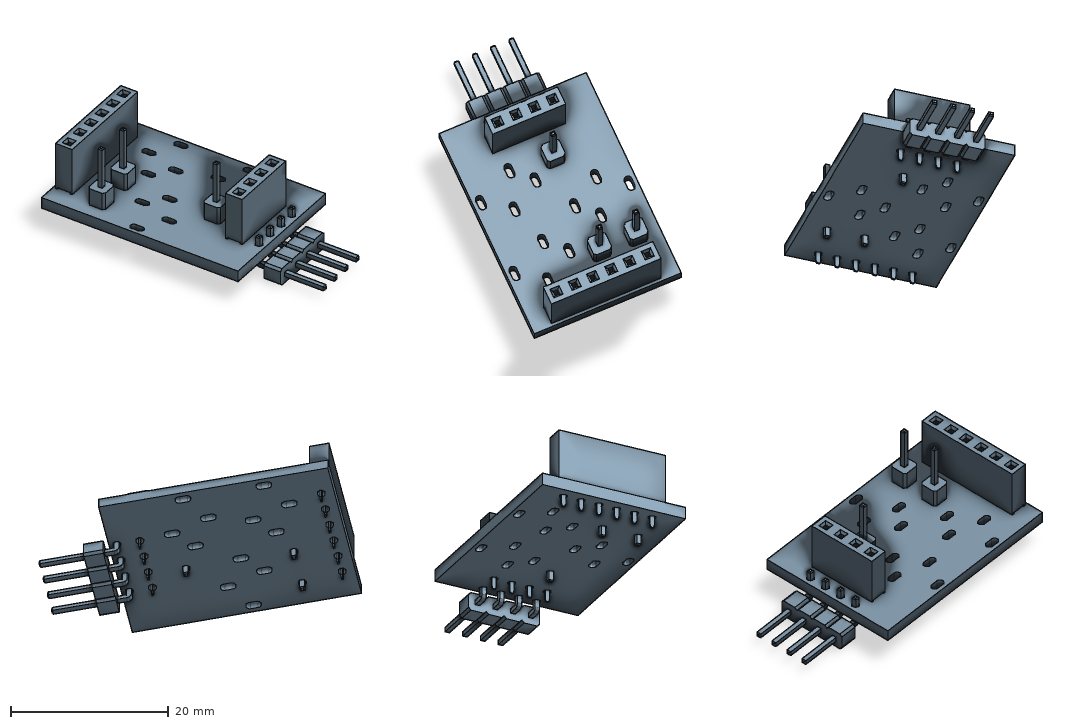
import cadquery as cq

pitch = 2.54
pin_size = 0.64
pin_tip = 0.15
cell_chamfer = 0.33
drill = 1.0

board_length = 29.8
board_width = 20.45
board_thickness = 1.65
slot_length = 2.0
slot_offsets = [(0, 3.8), (0, -3.8), (-2.54, 0.25), (2.5, -1.27)]
switches = [(8.53, 15.6, False), (19.05, 15.6, False), (13.81, 4.85, True)]

row_y = 10.28
socket_height = 7.0
socket_x = 1.66
socket_spacing = 9.5 * pitch
socket_counts = {socket_x: 6, socket_x + socket_spacing: 4}
entry_size = 1.26
entry_depth = 0.35
shaft_size = 0.65
shaft_depth = 4.0
blade_thickness = 0.2
blade_depth = 2.0
blade_reach = 3.1
blade_taper = 0.35
blade_tip_width = 0.4
groove_width = 1.87
groove_height = 0.2

upright_places = [(6.99, 8.29), (6.99, 8.29 - 2 * pitch), (6.99 + 5.5 * pitch, 8.53)]
upright_above = 6.0
upright_below = 3.0

angled_count = 4
angled_pin_x = 28.78
angled_overall_x = 38.87
angled_free_length = 6.0
angled_cell_x = angled_overall_x - angled_free_length - pitch / 2
angled_above = 1.3
angled_axis_z = board_thickness - 2.97
bend_radius = pin_size


def row_positions(count):
    """Y positions of a row of contacts centred on the common row line."""
    return [row_y + (i - (count - 1) / 2) * pitch for i in range(count)]


def box(size_x, size_y, bottom, top, x, y):
    """Block centred on (x, y), reaching from bottom to top."""
    block = cq.Workplane("XY").box(size_x, size_y, top - bottom, centered=(True, True, False))
    return block.translate((x, y, bottom))


def slot_centres():
    """Centres of the slots of all switch footprints."""
    centres = []
    for x, y, turned in switches:
        sign = -1 if turned else 1
        centres += [(x + sign * dx, y + sign * dy) for dx, dy in slot_offsets]
    return centres


def drill_centres():
    """Centres of the drilled holes of all sockets and pins."""
    centres = list(upright_places)
    centres += [(angled_pin_x, y) for y in row_positions(angled_count)]
    for x, count in socket_counts.items():
        centres += [(x, y) for y in row_positions(count)]
    return centres


def make_board():
    """Board with the switch slots and the drilled holes."""
    board = cq.Workplane("XY").box(board_length, board_width, board_thickness, centered=False)
    slots = cq.Workplane("XY").pushPoints(slot_centres()).slot2D(slot_length, drill)
    holes = cq.Workplane("XY").pushPoints(drill_centres()).circle(drill / 2)
    return board.cut(slots.extrude(board_thickness)).cut(holes.extrude(board_thickness))


def make_contact_entry(x, y, top):
    """Tapered mouth and straight shaft that lead to one contact blade."""
    mouth = (
        cq.Workplane("XY", origin=(x, y, top))
        .rect(entry_size, entry_size)
        .workplane(offset=-entry_depth)
        .rect(shaft_size, shaft_size)
        .loft(ruled=True)
    )
    return mouth.union(box(shaft_size, shaft_size, top - shaft_depth, top - entry_depth, x, y))


def make_blade(x, y, top):
    """Flat contact blade with a narrowed lower tip."""
    tip_z = board_thickness - blade_reach
    outline = [
        (y - pin_size / 2, top),
        (y - pin_size / 2, tip_z + blade_taper),
        (y - blade_tip_width / 2, tip_z),
        (y + blade_tip_width / 2, tip_z),
        (y + pin_size / 2, tip_z + blade_taper),
        (y + pin_size / 2, top),
    ]
    plane = cq.Workplane("YZ", origin=(x, 0, 0))
    return plane.polyline(outline).close().extrude(blade_thickness / 2, both=True)


def make_socket(x, count):
    """Female socket strip with its contact blades."""
    top = board_thickness + socket_height
    length = count * pitch
    socket = box(pitch, length, board_thickness, top, x, row_y)
    groove_top = board_thickness + groove_height
    socket = socket.cut(box(groove_width, length, board_thickness, groove_top, x, row_y))
    for y in row_positions(count):
        socket = socket.cut(make_contact_entry(x, y, top))
        socket = socket.union(make_blade(x, y, top - blade_depth))
    return socket


def make_upright_pin(x, y):
    """Single pin in a square plastic cell that stands on the board."""
    cell_top = board_thickness + pitch
    cell = box(pitch, pitch, board_thickness, cell_top, x, y).edges("|Z").chamfer(cell_chamfer)
    pin = box(pin_size, pin_size, board_thickness - upright_below, cell_top + upright_above, x, y)
    return cell.union(pin.faces("<Z or >Z").chamfer(pin_tip))


def make_angled_pin(y):
    """Pin that drops through the board and bends outwards along X."""
    half = pin_size / 2
    left = angled_pin_x - half
    low = angled_axis_z - half
    top = board_thickness + angled_above
    upright = box(pin_size, pin_size, low, top, angled_pin_x, y).faces(">Z").chamfer(pin_tip)
    level = (
        cq.Workplane("XY")
        .box(angled_overall_x - left, pin_size, pin_size, centered=(False, True, True))
        .translate((left, y, angled_axis_z))
        .faces(">X")
        .chamfer(pin_tip)
    )
    pin = upright.union(level)
    outer_corner = cq.selectors.NearestToPointSelector((left, y, low))
    return pin.edges("|Y").edges(outer_corner).fillet(bend_radius)


def make_angled_header():
    """Row of chamfered cells below the board edge with bent pins."""
    header = cq.Workplane("XY")
    for y in row_positions(angled_count):
        cell = cq.Workplane("XY").box(pitch, pitch, pitch).edges("|X").chamfer(cell_chamfer)
        header = header.union(cell.translate((angled_cell_x, y, angled_axis_z)))
        header = header.union(make_angled_pin(y))
    return header


board = make_board()
sockets = [make_socket(x, count) for x, count in socket_counts.items()]
upright_pins = [make_upright_pin(x, y) for x, y in upright_places]
angled_header = make_angled_header()

result = cq.Compound.makeCompound(
    [
        board.val(),
        *[socket.val() for socket in sockets],
        *[pin.val() for pin in upright_pins],
        angled_header.val(),
    ]
)